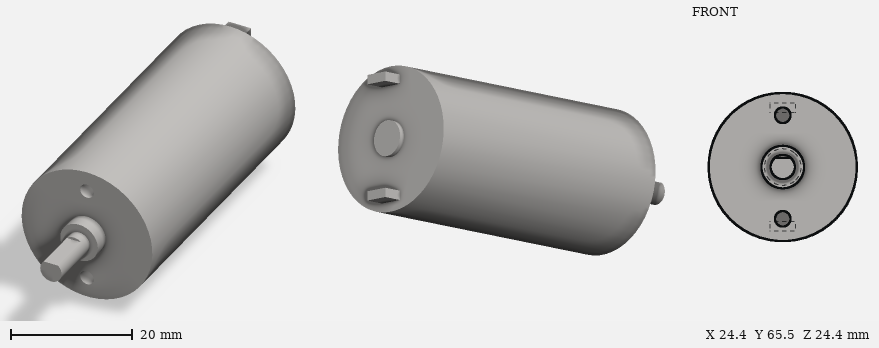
import cadquery as cq

overall_length = 65.5
body_diameter = 24.4
front_boss_diameter = 7.0
front_boss_length = 2.75
rear_boss_diameter = 6.0
rear_boss_length = 0.9

shaft_diameter = 4.0
shaft_length = 9.75
flat_length = 8.0
flat_height = 1.5

mount_hole_diameter = 2.55
mount_hole_offset = 8.5
mount_hole_depth = 3.9

terminal_width = 4.1
terminal_thickness = 1.6
terminal_length = 3.4
terminal_offset = 9.75

body_length = overall_length - front_boss_length - shaft_length - terminal_length
shaft_tip = -(front_boss_length + shaft_length)


def cylinder_along_y(diameter, start, length, z=0.0):
    """Cylinder from Y = start towards +Y, with its axis at height z."""
    base = cq.Vector(0, start, z)
    return cq.Workplane(cq.Solid.makeCylinder(diameter / 2, length, base, cq.Vector(0, 1, 0)))


def make_shaft():
    """Output shaft with a flat on its upper side, open at the tip."""
    shaft = cylinder_along_y(shaft_diameter, shaft_tip, shaft_length + front_boss_length)
    flat_cutter = (
        cq.Workplane("XY")
        .box(shaft_diameter, flat_length, shaft_diameter, centered=(True, False, False))
        .translate((0, shaft_tip, flat_height))
    )
    return shaft.cut(flat_cutter)


def make_terminal(z):
    """Flat terminal standing on the rear face."""
    return (
        cq.Workplane("XY")
        .box(terminal_width, terminal_length, terminal_thickness, centered=(True, False, True))
        .translate((0, body_length, z))
    )


result = cylinder_along_y(body_diameter, 0, body_length)
result = result.union(cylinder_along_y(front_boss_diameter, -front_boss_length, front_boss_length))
result = result.union(cylinder_along_y(rear_boss_diameter, body_length, rear_boss_length))
result = result.union(make_shaft())

for side in (1, -1):
    hole = cylinder_along_y(mount_hole_diameter, 0, mount_hole_depth, side * mount_hole_offset)
    result = result.cut(hole)
    result = result.union(make_terminal(side * terminal_offset))